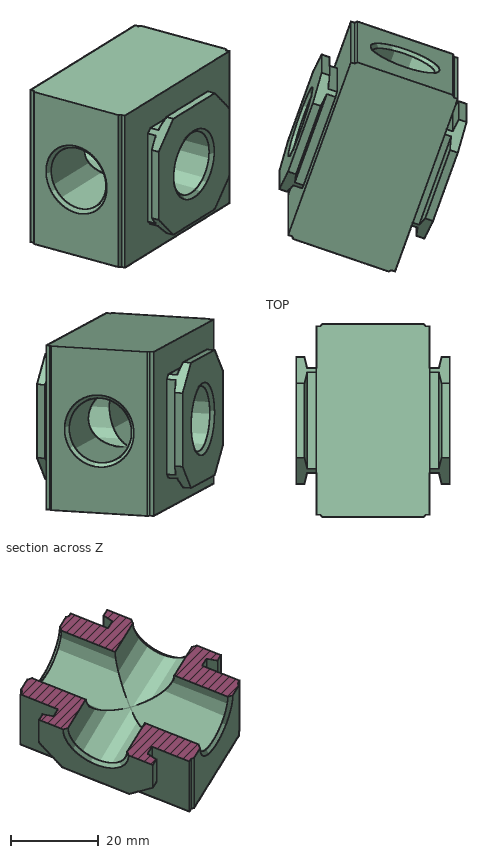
import cadquery as cq

overall_width = 35.0
block_width = 25.8
block_length = 44.0
block_height = 38.0

relief_depth = 0.5
relief_land = 0.9

flange_size = 29.0
flange_rim_thickness = 1.9
flange_taper_length = 0.6
flange_corner_cut = 6.0
neck_size = 24.0

bore_diameter = 14.95
port_mouth_diameter = 16.66
port_chamfer = (port_mouth_diameter - bore_diameter) / 2


def make_block():
    """Block with a shallow relief along each of its four vertical edges."""
    half_width = block_width / 2
    half_length = block_length / 2
    quarter = [
        (half_width, 0),
        (half_width, half_length - relief_depth),
        (half_width - relief_land, half_length - relief_depth),
        (half_width - relief_land - relief_depth, half_length),
        (0, half_length),
    ]
    return (
        cq.Workplane("XY")
        .workplane(offset=-block_height / 2)
        .polyline(quarter)
        .mirrorX()
        .mirrorY()
        .extrude(block_height)
    )


def make_coupling_prism(plane):
    """Prism with the neck and flange outline, extruded across the flange width."""
    half_width = overall_width / 2
    rim_start = half_width - flange_rim_thickness
    taper_start = rim_start - flange_taper_length
    half_flange = flange_size / 2
    half_neck = neck_size / 2
    quarter = [
        (half_width, 0),
        (half_width, half_flange),
        (rim_start, half_flange),
        (taper_start, half_neck),
        (0, half_neck),
    ]
    return (
        cq.Workplane(plane)
        .polyline(quarter)
        .mirrorX()
        .mirrorY()
        .extrude(half_flange, both=True)
    )


def make_couplings():
    """Neck and tapered flange on both X sides, as one bar running through the block."""
    square_bar = make_coupling_prism("XY").intersect(make_coupling_prism("XZ"))
    corner_envelope = (
        cq.Workplane("XY")
        .box(overall_width, flange_size, flange_size)
        .edges("|X")
        .chamfer(flange_corner_cut)
    )
    return square_bar.intersect(corner_envelope)


def make_port(plane, length):
    """Through bore of the given length, with a 45 degree chamfer at each mouth."""
    half_length = length / 2
    bore_radius = bore_diameter / 2
    mouth_radius = port_mouth_diameter / 2
    profile = [
        (0, -half_length),
        (mouth_radius, -half_length),
        (bore_radius, -half_length + port_chamfer),
        (bore_radius, half_length - port_chamfer),
        (mouth_radius, half_length),
        (0, half_length),
    ]
    return cq.Workplane(plane).polyline(profile).close().revolve(360, (0, 0), (0, 1))


body = make_block().union(make_couplings())
cross_port = make_port("YX", overall_width)
long_port = make_port("XY", block_length)
result = body.cut(cross_port).cut(long_port)